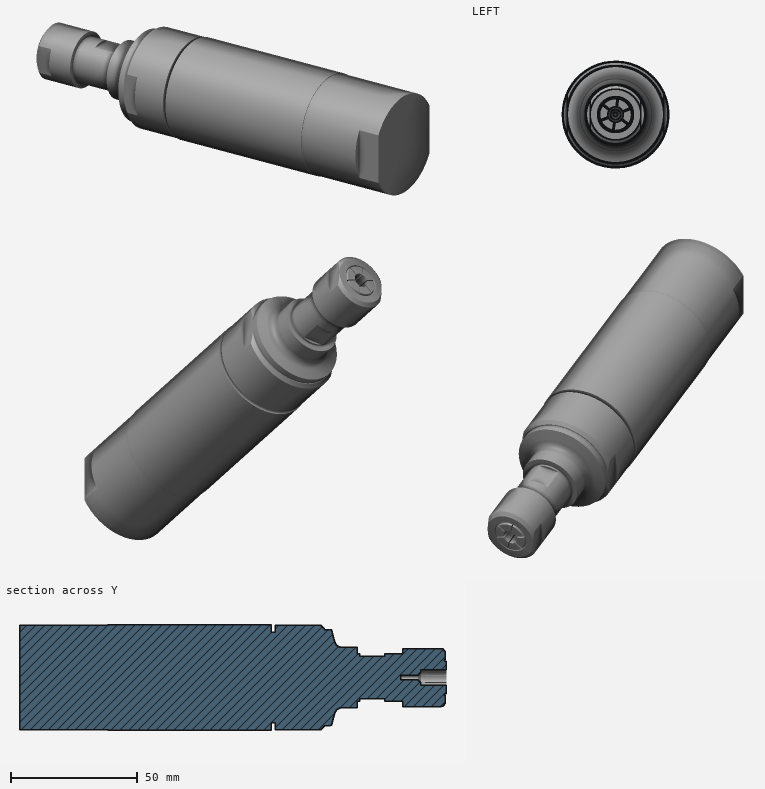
import cadquery as cq
import math

LENGTH = 168.5

NUT_DIA = 23.0
NUT_FACE_DIA = 20.0
NUT_START = 0.3
NUT_END = 17.3
NUT_CHAMFER_END = 1.5
NUT_FLATS_ACROSS = NUT_FACE_DIA
NUT_FLATS_END = 7.4

SHAFT_DIA = 19.0
SHAFT_FLATS_ACROSS = 17.0
SHAFT_FLATS_START = 24.5
SHAFT_FLATS_END = 34.2

COLLAR_DIA = 24.0
COLLAR_START = 35.0
FILLET_START = 41.3
FILLET_RADIUS = 2.9
FLANGE_DIA = 38.0
FLANGE_START = 45.3
CONE_TILT = math.radians(14.5)

CAP_DIA = 41.5
CAP_START = 48.2
CAP_END = 67.7
CAP_CHAMFER = 1.3
CAP_FLATS_ACROSS = FLANGE_DIA
CAP_FLATS_END = 54.4

GROOVE_DIA = 36.0
BODY_DIA = 42.0
BODY_START = 69.0
BODY_END = 133.5
REAR_DIA = CAP_DIA
REAR_FLATS_ACROSS = 36.0
REAR_FLATS_START = 159.3

GAP_OUTER_DIA = 14.1
GAP_INNER_DIA = 12.6
GAP_ROOT_DIA = 13.5
GAP_DEPTH = 0.8
BORE_DIA = 6.0
BORE_DEPTH = 10.1
COUNTERSINK_DIA = 4.0
COUNTERSINK_DEPTH = 1.2
CENTRE_HOLE_DIA = 1.6
CENTRE_HOLE_DEPTH = 6.7
SLIT_COUNT = 6
SLIT_WIDTH = 0.5
SLIT_DEPTH = 8.5
SLIT_FIRST_ANGLE = 38.0


def turned_body():
    """Revolve the half outline of the whole spindle about X."""
    nut_r = NUT_DIA / 2
    shaft_r = SHAFT_DIA / 2
    collar_r = COLLAR_DIA / 2
    flange_r = FLANGE_DIA / 2
    cap_r = CAP_DIA / 2
    groove_r = GROOVE_DIA / 2
    body_r = BODY_DIA / 2
    rear_r = REAR_DIA / 2

    turn = math.pi / 2 - CONE_TILT

    def fillet_point(angle):
        return (
            FILLET_START + FILLET_RADIUS * math.sin(angle),
            collar_r + FILLET_RADIUS * (1 - math.cos(angle)),
        )

    outline = (
        cq.Workplane("XY")
        .moveTo(0, 0)
        .lineTo(0, GAP_INNER_DIA / 2)
        .lineTo(GAP_DEPTH, GAP_ROOT_DIA / 2)
        .lineTo(NUT_START, GAP_OUTER_DIA / 2)
        .lineTo(NUT_START, NUT_FACE_DIA / 2)
        .lineTo(NUT_CHAMFER_END, nut_r)
        .lineTo(NUT_END, nut_r)
        .lineTo(NUT_END, shaft_r)
        .lineTo(COLLAR_START, shaft_r)
        .lineTo(COLLAR_START, collar_r)
        .lineTo(FILLET_START, collar_r)
        .threePointArc(fillet_point(turn / 2), fillet_point(turn))
        .lineTo(FLANGE_START, flange_r)
        .lineTo(CAP_START, flange_r)
        .lineTo(CAP_START, cap_r - CAP_CHAMFER)
        .lineTo(CAP_START + CAP_CHAMFER, cap_r)
        .lineTo(CAP_END, cap_r)
        .lineTo(CAP_END, groove_r)
        .lineTo(BODY_START, groove_r)
        .lineTo(BODY_START, body_r)
        .lineTo(BODY_END, body_r)
        .lineTo(BODY_END, rear_r)
        .lineTo(LENGTH, rear_r)
        .lineTo(LENGTH, 0)
        .close()
    )
    return outline.revolve(360, (0, 0, 0), (1, 0, 0))


def flats_cutter(start, end, across):
    """Two blocks that leave a width of `across` in Y between x = start and x = end."""
    block = cq.Workplane("XY").box(end - start, BODY_DIA, BODY_DIA, centered=(False, False, True))
    near = block.translate((start, across / 2, 0))
    return near.union(near.mirror("XZ"))


def collet_cutter():
    """Bore with a countersunk centre hole at its floor, and the radial slits around it."""
    bore_r = BORE_DIA / 2
    centre_r = CENTRE_HOLE_DIA / 2
    countersink_end = BORE_DEPTH + COUNTERSINK_DEPTH
    centre_end = countersink_end + CENTRE_HOLE_DEPTH

    outline = [
        (0, 0),
        (0, bore_r),
        (BORE_DEPTH, bore_r),
        (BORE_DEPTH, COUNTERSINK_DIA / 2),
        (countersink_end, centre_r),
        (centre_end, centre_r),
        (centre_end, 0),
    ]
    cutter = cq.Workplane("XY").polyline(outline).close().revolve(360, (0, 0, 0), (1, 0, 0))

    slit_inner_r = bore_r - SLIT_WIDTH / 2
    slit = (
        cq.Workplane("XY")
        .box(SLIT_DEPTH, GAP_ROOT_DIA / 2 - slit_inner_r, SLIT_WIDTH, centered=(False, False, True))
        .translate((0, slit_inner_r, 0))
    )
    for i in range(SLIT_COUNT):
        angle = SLIT_FIRST_ANGLE + i * 360 / SLIT_COUNT
        cutter = cutter.union(slit.rotate((0, 0, 0), (1, 0, 0), angle))
    return cutter


nut_flats = flats_cutter(NUT_START, NUT_FLATS_END, NUT_FLATS_ACROSS)
cap_flats = flats_cutter(CAP_START, CAP_FLATS_END, CAP_FLATS_ACROSS)
rear_flats = flats_cutter(REAR_FLATS_START, LENGTH, REAR_FLATS_ACROSS)

shaft_flats = flats_cutter(SHAFT_FLATS_START, SHAFT_FLATS_END, SHAFT_FLATS_ACROSS)
shaft_flats = shaft_flats.rotate((0, 0, 0), (1, 0, 0), 90)

result = (
    turned_body()
    .cut(nut_flats)
    .cut(shaft_flats)
    .cut(cap_flats)
    .cut(rear_flats)
    .cut(collet_cutter())
)